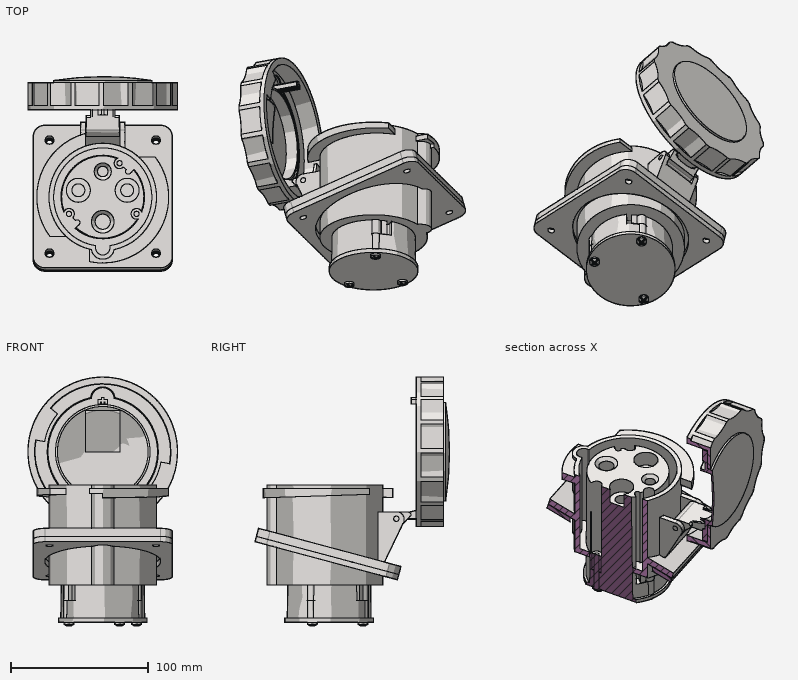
import cadquery as cq
import math


housing_r = 39.0
housing_h = 72.6
wall = 3.4
bore_r = housing_r - wall
key_y = -36.8
key_r = 8.3
key_slot_r = key_r - wall + 0.3
floor_t = 5.0

collar_r = 47.8
collar_top = 70.1
left_collar_y = -28.5
left_collar_x = -12.5
right_collar_y = 29.1
right_collar_x = -9.6
ramp_thin = 4.3
ramp_thick = 6.8
stop_t = 3.8

tilt = 15.0
plate_w = 101.0
plate_l = 107.0
plate_t = 6.1
gasket_t = 4.0
plate_y = 0.45
plate_z = 27.4
plate_corner_r = 8.7
plate_hole_x = 38.6
plate_hole_y = 42.4
plate_hole_r = 3.1
gasket_hole_r = 2.4
gasket_bore_r = 42.0

pin_y = 48.7
pin_z = 48.1
pin_r = 1.95
barrel_r = 5.0
hinge_top = pin_z + barrel_r
link_half_w = 12.0
ear_in = 12.5
ear_out = 16.1
ear_round_r = 5.6
ear_foot_y = 40.3
ear_foot_z = 17.0
ear_root_y = 30.0
web_t = 3.3
web_top = 40.0
link_end_y = 59.2
link_step_z = 50.5
link_heel_y = 54.0
link_heel_z = 44.8
neck_half_w = 9.0
neck_core_half_w = 7.4
neck_slope_y = 58.5
gusset_top = 57.5
link_bevel = 1.5

insert_top = 70.5
insert_top_r = 29.8
insert_r = 30.5
insert_bottom = -26.9
insert_flange_top = -23.8
insert_flange_r = 32.2
post_bottom = -11.0
post_r = 3.9
post_xy = [(12.2, 24.5), (-24.5, -12.2), (24.5, -12.2)]
pocket_r = 26.2
slot_half_w = 2.0
locators = [(45.0, 1), (225.0, -1)]
post_offset = 18.5
rib_near = 2.8
rib_far = 10.7
rib_r = 29.9

contact_x = 17.7
contact_y = 4.9
contact_r = 8.7
contact_core_r = 4.7
contact_step_depth = 12.0
contact_depth = 40.0
tapered_holes = [(18.5, 6.2, 3.8), (-17.9, 8.2, 5.5)]
taper_depth = 2.4

screw_r = 1.9
head_r = 3.6
head_rim_t = 1.5
head_t = 2.64
head_tip_r = 1.6
drive_w = 0.8
drive_depth = 1.2

lid_z = 96.6
lid_r = 54.28
lid_front = 63.1
lid_back = 82.9
lid_bore_r = 49.4
lid_wall_y = 80.0
grip_front = 66.5
grip_count = 16
grip_turn = -1.0
ridge_angle = 3.5
grip_depth = 2.2
lug_r = 42.8
lug_back = 65.2
lug_starts = [140.0, -40.0]
lug_span = 30.0

cap_r = 49.1
cap_front = 76.0
cap_back_r = 35.8
cap_edge_y = 84.5
cap_apex_y = 87.33
seat_r = 40.3
seat_key_r = 8.9
seat_key_z = 38.2
seat_step = 0.6
seat_depth = 2.0
bowl_r = 32.9
bowl_lip_r = 34.3
bowl_lip_y = 74.5
bowl_floor_y = 83.2
bowl_apex_y = 85.8
window_half_w = 12.5
window_top = 30.0
window_t = 0.4

catch_front = 59.5
catch_bottom = 34.6
catch_step = 37.8
catch_top = 39.5
catch_half_w = 3.3
catch_rib_half_w = 1.0
catch_slot_x = 1.25
catch_slot_w = 1.0
catch_slot_h = 1.6


def disc(radius, z0, z1, x=0.0, y=0.0):
    """Upright cylinder between two heights."""
    return cq.Workplane("XY", origin=(x, y, z0)).circle(radius).extrude(z1 - z0)


def block(x0, x1, y0, y1, z0, z1):
    """Box between two limits along each axis."""
    return cq.Workplane("XY").box(x1 - x0, y1 - y0, z1 - z0, centered=False).translate((x0, y0, z0))


def side_profile(points, x0, x1):
    """Polygon of (Y, Z) points extruded along X."""
    return cq.Workplane("YZ", origin=(x0, 0, 0)).polyline(points).close().extrude(x1 - x0)


def on_circle(radius, angle):
    a = math.radians(angle)
    return (radius * math.cos(a), radius * math.sin(a))


def sector(workplane, r0, r1, a0, a1):
    """Closed outline of a ring sector between two angles."""
    mid = (a0 + a1) / 2
    return (
        workplane.moveTo(*on_circle(r0, a0))
        .lineTo(*on_circle(r1, a0))
        .threePointArc(on_circle(r1, mid), on_circle(r1, a1))
        .lineTo(*on_circle(r0, a1))
        .threePointArc(on_circle(r0, mid), on_circle(r0, a0))
        .close()
    )


def lid_plane(y):
    """Workplane on the lid axis, drawn with local X to the right and local Y up, facing -Y."""
    return cq.Workplane("XZ", origin=(0, y, lid_z))


def lid_disc(radius, y0, y1):
    return lid_plane(y0).circle(radius).extrude(y0 - y1)


def plate_plane():
    a = math.radians(tilt)
    return cq.Plane(origin=(0, plate_y, plate_z), xDir=(1, 0, 0), normal=(0, math.sin(a), math.cos(a)))


def plate_slab(depth0, depth1, hole_r):
    """Rounded plate with four corner holes, between two depths below the plate's top face."""
    corners = [(sx * plate_hole_x, sy * plate_hole_y) for sx in (-1, 1) for sy in (-1, 1)]
    thickness = depth1 - depth0
    slab = cq.Workplane(plate_plane()).workplane(offset=-depth1).rect(plate_w, plate_l).extrude(thickness)
    holes = cq.Workplane(plate_plane()).workplane(offset=-depth1).pushPoints(corners)
    return slab.edges(cq.selectors.ParallelDirSelector(plate_plane().zDir)).fillet(plate_corner_r).cut(
        holes.circle(hole_r).extrude(thickness)
    )


def screw(x, y):
    """Pan-head screw driven upward from below the insert, with a cross recess."""
    rim_z = insert_bottom - head_rim_t
    tip_z = insert_bottom - head_t
    body = (
        cq.Workplane("XZ")
        .moveTo(0, floor_t)
        .lineTo(screw_r, floor_t)
        .lineTo(screw_r, insert_bottom)
        .lineTo(head_r, insert_bottom)
        .lineTo(head_r, rim_z)
        .lineTo(head_tip_r, tip_z)
        .lineTo(0, tip_z)
        .close()
        .revolve(360, (0, 0, 0), (0, 1, 0))
    )
    for length_x, length_y in ((2 * head_r, drive_w), (drive_w, 2 * head_r)):
        body = body.cut(cq.Workplane("XY", origin=(0, 0, tip_z)).rect(length_x, length_y).extrude(drive_depth))
    return body.translate((x, y, 0))


screws = [screw(x, y) for x, y in post_xy]


def locating_pocket(angle, side):
    """Pocket from a radial slot with a round end to the neighbouring screw post."""
    height = insert_top - post_bottom
    base = cq.Workplane("XY", origin=(0, 0, post_bottom))
    a0, a1 = sorted((angle, angle + side * post_offset))
    pocket = sector(base, pocket_r, housing_r, a0, a1).extrude(height)
    slot = base.center((pocket_r + housing_r) / 2, 0).rect(housing_r - pocket_r, 2 * slot_half_w).extrude(height)
    slot = slot.union(disc(slot_half_w, post_bottom, insert_top, pocket_r)).rotate((0, 0, 0), (0, 0, 1), angle)
    return pocket.union(slot)


def make_insert():
    body = (
        cq.Workplane("XZ")
        .polyline([
            (0, insert_bottom),
            (insert_flange_r, insert_bottom),
            (insert_flange_r, insert_flange_top),
            (insert_r, insert_flange_top),
            (insert_top_r, insert_top),
            (0, insert_top),
        ])
        .close()
        .revolve(360, (0, 0, 0), (0, 1, 0))
    )
    for angle, side in locators:
        body = body.cut(locating_pocket(angle, side))
    for x, y in post_xy:
        body = body.union(disc(post_r, insert_bottom, post_bottom, x, y))
        body = body.cut(disc(post_r, post_bottom, insert_top, x, y))
    for side in (-1, 1):
        x = side * contact_x
        body = body.cut(disc(contact_r, insert_top - contact_step_depth, insert_top, x, contact_y))
        body = body.cut(disc(contact_core_r, insert_top - contact_depth, insert_top, x, contact_y))
    for y, mouth_r, hole_r in tapered_holes:
        hole = (
            cq.Workplane("XZ", origin=(0, y, 0))
            .polyline([
                (0, insert_top),
                (mouth_r, insert_top),
                (hole_r, insert_top - taper_depth),
                (hole_r, insert_top - contact_depth),
                (0, insert_top - contact_depth),
            ])
            .close()
            .revolve(360, (0, 0, 0), (0, 1, 0))
        )
        body = body.cut(hole)
    for one in screws:
        body = body.cut(one)
    return body


insert = make_insert()


hinge_pin = cq.Workplane("YZ", origin=(-ear_out, 0, 0)).center(pin_y, pin_z).circle(pin_r).extrude(2 * ear_out)


def collar():
    """Two bayonet segments whose undersides slope as locking ramps."""
    ring = disc(collar_r, collar_top - ramp_thick, collar_top).cut(disc(bore_r, 0, collar_top))
    left = side_profile([
        (left_collar_y, collar_top),
        (collar_r, collar_top),
        (collar_r, collar_top - ramp_thick),
        (left_collar_y, collar_top - ramp_thin),
    ], -collar_r, left_collar_x)
    right = side_profile([
        (right_collar_y, collar_top),
        (-collar_r, collar_top),
        (-collar_r, collar_top - ramp_thick),
        (right_collar_y, collar_top - ramp_thin),
    ], 0, collar_r)
    stop = block(right_collar_x, 0, -collar_r, 0, collar_top - stop_t, collar_top)
    return ring.intersect(left.union(right).union(stop))


def hinge_ear(x0):
    """Side cheek of the hinge, rounded around the pin."""
    corner = math.sqrt(0.5)
    return (
        cq.Workplane("YZ", origin=(x0, 0, 0))
        .moveTo(ear_root_y, hinge_top)
        .lineTo(pin_y, hinge_top)
        .threePointArc(
            (pin_y + ear_round_r * corner, pin_z + barrel_r * corner), (pin_y + ear_round_r, pin_z)
        )
        .lineTo(pin_y + ear_round_r, pin_z - pin_r)
        .lineTo(ear_foot_y, ear_foot_z)
        .lineTo(ear_root_y, ear_foot_z)
        .close()
        .extrude(ear_out - ear_in)
    )


def hinge_web():
    """Sloping wall that joins the ears along their rear edge."""
    slope = (pin_y + ear_round_r - ear_foot_y) / (pin_z - pin_r - ear_foot_z)
    top_y = ear_foot_y + slope * (web_top - ear_foot_z)
    return side_profile([
        (ear_foot_y, ear_foot_z),
        (top_y, web_top),
        (top_y - web_t, web_top),
        (ear_foot_y - web_t, ear_foot_z),
    ], -ear_in, ear_in)


def make_housing():
    body = disc(housing_r, 0, housing_h).union(disc(key_r, 0, housing_h, 0, key_y))
    body = body.union(plate_slab(0, plate_t, plate_hole_r)).union(collar())
    body = body.union(hinge_ear(-ear_out)).union(hinge_ear(ear_in)).union(hinge_web())
    body = body.cut(disc(bore_r, floor_t, housing_h)).cut(disc(key_slot_r, floor_t, housing_h, 0, key_y))
    body = body.cut(block(-key_slot_r, key_slot_r, key_y, 0, floor_t, housing_h))
    for x, y in post_xy:
        body = body.union(disc(post_r, post_bottom, floor_t, x, y))
    for angle, side in locators:
        a0, a1 = sorted((angle + side * rib_near, angle + side * rib_far))
        rib_base = cq.Workplane("XY", origin=(0, 0, post_bottom))
        body = body.union(sector(rib_base, pocket_r, rib_r, a0, a1).extrude(floor_t - post_bottom))
    for inner in [insert, hinge_pin, *screws]:
        body = body.cut(inner)
    return body


housing = make_housing()


gasket = (
    plate_slab(plate_t, plate_t + gasket_t, gasket_hole_r)
    .cut(disc(gasket_bore_r, 0, housing_h))
    .cut(disc(key_r, 0, housing_h, 0, key_y))
)


def make_lid_ring():
    body = lid_disc(lid_r, lid_front, lid_back).cut(lid_disc(lid_bore_r, lid_front, lid_wall_y))
    body = body.cut(lid_disc(cap_back_r, lid_wall_y, lid_back))
    pitch = 360 / grip_count
    half_angle = math.radians((pitch - ridge_angle) / 2)
    half_chord = lid_r * math.sin(half_angle)
    sagitta = grip_depth - lid_r * (1 - math.cos(half_angle))
    scoop_r = (half_chord**2 + sagitta**2) / (2 * sagitta)
    scoop_centre = lid_r - grip_depth + scoop_r
    for i in range(grip_count):
        angle = 90 - grip_turn + (i + 0.5) * pitch
        scoop = lid_plane(grip_front).center(*on_circle(scoop_centre, angle)).circle(scoop_r)
        body = body.cut(scoop.extrude(grip_front - lid_back))
    for start in lug_starts:
        lug = sector(lid_plane(lid_front), lug_r, (lid_bore_r + lid_r) / 2, start, start + lug_span)
        body = body.union(lug.extrude(lid_front - lug_back))
    return body


lid_ring = make_lid_ring()


def dome(radius, start_y, edge_y, apex_y):
    """Revolved plug: straight from start to edge, then bulging to its apex."""
    rise = apex_y - edge_y
    sphere_r = (radius**2 + rise**2) / (2 * rise)
    mid_x = radius / 2
    mid_y = apex_y - sphere_r + math.sqrt(sphere_r**2 - mid_x**2)
    return (
        cq.Workplane("XY", origin=(0, 0, lid_z))
        .moveTo(0, start_y)
        .lineTo(radius, start_y)
        .lineTo(radius, edge_y)
        .threePointArc((mid_x, mid_y), (0, apex_y))
        .close()
        .revolve(360, (0, 0, 0), (0, 1, 0))
    )


def seat(inset, depth):
    """Keyed recess that takes the housing rim."""
    key = lid_plane(cap_front).center(0, seat_key_z).circle(seat_key_r - inset).extrude(-depth)
    return lid_disc(seat_r - inset, cap_front, cap_front + depth).union(key)


def bowl():
    """Straight-walled bowl with a domed floor that carries a slightly raised window."""
    wall_cut = lid_disc(bowl_r, bowl_lip_y, bowl_floor_y)
    floor_cut = dome(bowl_r, bowl_floor_y - window_t, bowl_floor_y, bowl_apex_y)
    window = block(
        -window_half_w, window_half_w, bowl_floor_y, bowl_apex_y, lid_z, lid_z + window_top
    )
    raised = floor_cut.intersect(window).cut(floor_cut.translate((0, -window_t, 0)))
    return wall_cut.union(floor_cut).cut(raised)


def catch():
    """T-shaped catch standing on the seat floor, slotted from below."""
    back = cap_front + seat_depth
    step_z = lid_z + catch_step
    low_z = lid_z + catch_bottom
    body = block(-catch_half_w, catch_half_w, catch_front, back, low_z, step_z)
    body = body.union(
        block(-catch_rib_half_w, catch_rib_half_w, catch_front, back, low_z, lid_z + catch_top)
    )
    for side in (-1, 1):
        x = side * catch_slot_x
        slot = block(
            x - catch_slot_w / 2, x + catch_slot_w / 2, catch_front, back, low_z, low_z + catch_slot_h
        )
        body = body.cut(slot)
    return body


def hinge_link():
    """Arm with a barrel around the hinge pin and a narrower gusseted neck that enters the lid."""
    link = side_profile([
        (pin_y, hinge_top),
        (link_end_y - link_bevel, hinge_top),
        (link_end_y, hinge_top - link_bevel),
        (link_end_y, link_step_z),
        (link_heel_y, link_heel_z),
        (pin_y, pin_z - barrel_r),
    ], -link_half_w, link_half_w)
    barrel = cq.Workplane("YZ", origin=(-link_half_w, 0, 0)).center(pin_y, pin_z).circle(barrel_r)
    link = link.union(barrel.extrude(2 * link_half_w))
    neck_bottom = lid_z - cap_r
    plate = side_profile([
        (link_heel_y, hinge_top),
        (cap_front, hinge_top),
        (cap_front, neck_bottom),
        (link_heel_y + pin_r, neck_bottom),
    ], -neck_core_half_w, neck_core_half_w)
    gusset_points = [
        (link_end_y - link_bevel, hinge_top),
        (neck_slope_y, hinge_top),
        (cap_front, gusset_top),
        (cap_front, neck_bottom),
        (link_end_y - link_bevel, neck_bottom),
    ]
    neck = plate.union(side_profile(gusset_points, -neck_half_w, -neck_core_half_w))
    neck = neck.union(side_profile(gusset_points, neck_core_half_w, neck_half_w))
    inside = lid_disc(cap_r, link_heel_y, cap_front)
    return link.union(neck.intersect(inside))


def make_lid_cap():
    body = lid_disc(cap_r, cap_front, lid_wall_y).union(dome(cap_back_r, cap_front, cap_edge_y, cap_apex_y))
    body = body.cut(seat(0, seat_step)).cut(seat(seat_step, seat_depth))
    body = body.union(lid_disc(bowl_lip_r, bowl_lip_y, cap_front + seat_depth)).cut(bowl())
    body = body.union(catch()).union(hinge_link())
    return body.cut(hinge_pin)


lid_cap = make_lid_cap()

result = cq.Compound.makeCompound([
    housing.val(),
    gasket.val(),
    insert.val(),
    lid_ring.val(),
    lid_cap.val(),
    hinge_pin.val(),
    *[one.val() for one in screws],
])